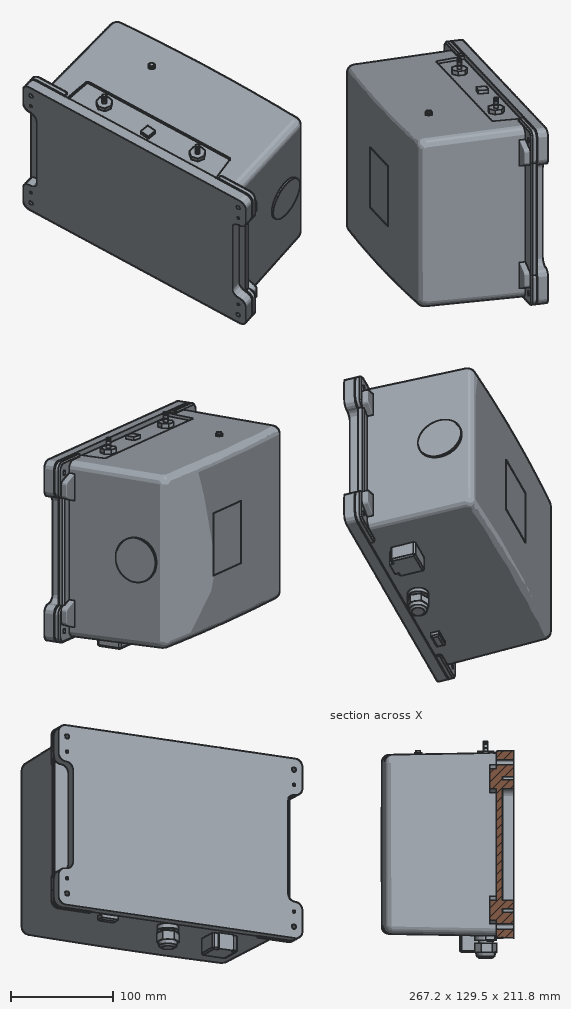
import cadquery as cq

root_depth = 2.7

plate_width = 267.2
plate_height = 183.3
plate_thickness = 11.0
corner_radius = 8
tab_inner_z = 54.5
notch_depth = 2 * corner_radius
half_width = plate_width / 2
half_height = plate_height / 2

seam_width = 0.8
seam_inset = 0.5
flange_start = plate_thickness + seam_width
flange_top = 17.5
flange_chamfer = 1.5
left_ledge_x = 132.5
right_ledge_x = 125.3
flange_pad_inner_x = 92.2

hole_x = 124.2
mount_hole_diameter = 4.5
mount_hole_z = 80.2
pilot_hole_diameter = 2.7
pilot_hole_z = 64.7

latch_inner_x = 112.2
latch_outer_x = 130.0
latch_low_z = 49.5
latch_high_z = 78.8
latch_top = 23.5
latch_slope_height = 7.0
latch_radius = 4.0
latch_edge = 0.8

housing_width = 230.3
housing_height = 179
housing_draft = 0.9
housing_fillet = 8.3
cover_centre_y = 129.3
cover_side_y = 126.0
cover_side_x = 112.2

panel_width = 54.0
panel_height = 63.0
total_depth = 129.5

cap_diameter = 45.0
cap_y = 93.0
cap_face_x = 116.2

recess_floor_z = 86.3
recess_end_y = 41.5
recess_base_half = 89.2
recess_end_half = 86.0
recess_radius = 2.1

pin_x = 55.8
fitting_y = 27.5
nut_diameter = 16
nut_sides = 7
nut_top_z = 90.8
pin_top_z = 100.7
pin_diameter = 4.5
pin_groove_diameter = 3.2
pin_cap_height = 2.1
pin_cap_chamfer = 0.5
pin_groove_width = 0.8
pin_groove_count = 2
pin_groove_pitch = 4.0

plug_side = 10.2
plug_y = 22.7
plug_top_z = 89.8
plug_angle = -7

screw_x = -46.0
screw_y = 93.5
screw_base_diameter = 7.0
screw_base_z = 89.8
screw_head_diameter = 4.5
screw_top_z = 91.6

bottom_root_z = -85.5
gland_washer_diameter = 21.0
gland_washer_z = -93.8
gland_neck_diameter = 14.0
gland_nut_top_z = -96.5
gland_nut_bottom_z = -105.3
gland_nut_across_corners = 22.0
gland_nut_sides = 6
gland_nut_angle = 37
dome_diameter = 19.8
dome_shoulder_diameter = 17.5
dome_shoulder_z = -109.3
dome_tip_diameter = 12.3
dome_bottom_z = -111.1

connector_x = 62.5
connector_width = 27.3
connector_near_y = 26.7
connector_far_y = 52.6
connector_bottom_z = -105.5
connector_chamfer = 1.5
connector_rib_width = 15.5
connector_rib_y = 24

button_x = -67.9
button_y = 23.0
button_length = 17.6
button_width = 8.8
button_bottom_z = -94.5
button_chamfer = 1.5


def box_between(x_range, y_range, z_range):
    """Box spanning the given coordinate ranges."""
    size = [high - low for low, high in (x_range, y_range, z_range)]
    start = (x_range[0], y_range[0], z_range[0])
    return cq.Workplane("XY").box(*size, centered=False).translate(start)


def post(x, y, diameter, z_start, z_end):
    """Upright cylinder between two heights."""
    return (
        cq.Workplane("XY", origin=(x, y, z_start))
        .circle(diameter / 2)
        .extrude(z_end - z_start)
    )


def mirrored_four_ways(quarter):
    """Repeat a +X +Z quarter in all four quarters."""
    half = quarter.union(quarter.mirror("YZ"))
    return half.union(half.mirror("XY"))


def eared_slab(y_start, y_end, inset=0.0):
    """Slab with a rounded ear at each corner and a notch between the ears on both sides."""
    side_x = half_width - inset
    top_z = half_height - inset
    ear_z = tab_inner_z + inset
    quarter = (
        cq.Workplane("XZ", origin=(0, y_start, 0))
        .lineTo(0, top_z)
        .lineTo(side_x - corner_radius, top_z)
        .tangentArcPoint((side_x, top_z - corner_radius), relative=False)
        .lineTo(side_x, ear_z + corner_radius)
        .tangentArcPoint((side_x - corner_radius, ear_z), relative=False)
        .tangentArcPoint((side_x - notch_depth, ear_z - corner_radius), relative=False)
        .lineTo(side_x - notch_depth, 0)
        .close()
        .extrude(y_start - y_end)
    )
    return mirrored_four_ways(quarter)


def flange_layer(y_start, y_end, inset=0.0):
    """Eared slab whose side notches are partly filled by a straight ledge."""
    ledge_z = tab_inner_z + corner_radius
    ledge = box_between(
        (inset - left_ledge_x, right_ledge_x - inset), (y_start, y_end), (-ledge_z, ledge_z)
    )
    return eared_slab(y_start, y_end, inset).union(ledge)


def make_flange():
    """Lid flange, open along the middle of its top and bottom sides."""
    gap_x = (-flange_pad_inner_x, flange_pad_inner_x)
    gap = box_between(gap_x, (plate_thickness, flange_top), (-half_height, half_height))
    seam = flange_layer(plate_thickness, flange_start, seam_inset).cut(gap)
    flange = flange_layer(flange_start, flange_top).cut(gap).faces(">Y").chamfer(flange_chamfer)
    return seam.union(flange)


def make_latches():
    """Four blocks with sloped ends, one on each ear."""
    latch = (
        cq.Workplane("XZ", origin=(0, flange_start, 0))
        .moveTo(latch_inner_x, latch_low_z)
        .lineTo(latch_outer_x, latch_low_z + latch_slope_height)
        .lineTo(latch_outer_x, latch_high_z - latch_slope_height)
        .lineTo(latch_inner_x, latch_high_z)
        .close()
        .extrude(flange_start - latch_top)
        .edges("|Y and >X")
        .fillet(latch_radius)
        .faces(">Y")
        .edges()
        .fillet(latch_edge)
    )
    return mirrored_four_ways(latch)


def make_housing():
    """Drafted box closed by the bowed cover, with rounded edges."""
    walls = (
        cq.Workplane("XZ", origin=(0, plate_thickness, 0))
        .rect(housing_width, housing_height)
        .extrude(-total_depth, taper=housing_draft)
    )
    envelope = (
        cq.Workplane("XY")
        .moveTo(-half_width, 0)
        .lineTo(half_width, 0)
        .lineTo(half_width, cover_side_y)
        .lineTo(cover_side_x, cover_side_y)
        .threePointArc((0, cover_centre_y), (-cover_side_x, cover_side_y))
        .lineTo(-half_width, cover_side_y)
        .close()
        .extrude(half_height, both=True)
    )
    body = walls.intersect(envelope)
    rounded = cq.selectors.BoxSelector(
        (-half_width, flange_start, -half_height), (half_width, total_depth, half_height)
    )
    return body.edges(rounded).fillet(housing_fillet)


def make_cover_panel():
    return box_between(
        (-panel_width / 2, panel_width / 2),
        (cover_side_y - root_depth, total_depth),
        (-panel_height / 2, panel_height / 2),
    )


def make_side_cap():
    depth = cap_face_x - latch_inner_x
    return (
        cq.Workplane("YZ", origin=(latch_inner_x, cap_y, 0)).circle(cap_diameter / 2).extrude(depth)
    )


def make_recess():
    return (
        cq.Workplane("XY", origin=(0, 0, recess_floor_z))
        .moveTo(-recess_base_half, plate_thickness)
        .lineTo(recess_base_half, plate_thickness)
        .lineTo(recess_end_half, recess_end_y)
        .lineTo(-recess_end_half, recess_end_y)
        .close()
        .extrude(half_height - recess_floor_z)
        .edges("|Z and >Y")
        .fillet(recess_radius)
    )


def make_antenna_pin(x):
    """Grooved pin on a faceted nut."""
    nut = (
        cq.Workplane("XY", origin=(x, fitting_y, recess_floor_z - root_depth))
        .polygon(nut_sides, nut_diameter)
        .extrude(nut_top_z - recess_floor_z + root_depth)
    )
    pin = post(x, fitting_y, pin_diameter, recess_floor_z, pin_top_z)
    pin = pin.faces(">Z").chamfer(pin_cap_chamfer)
    for step in range(pin_groove_count):
        groove_top = pin_top_z - pin_cap_height - step * pin_groove_pitch
        groove_bottom = groove_top - pin_groove_width
        ring = post(x, fitting_y, 2 * pin_diameter, groove_bottom, groove_top)
        core = post(x, fitting_y, pin_groove_diameter, groove_bottom, groove_top)
        pin = pin.cut(ring.cut(core))
    return nut.union(pin)


def make_plug():
    return (
        cq.Workplane("XY", origin=(0, plug_y, recess_floor_z - root_depth))
        .transformed(rotate=(0, 0, plug_angle))
        .rect(plug_side, plug_side)
        .extrude(plug_top_z - recess_floor_z + root_depth)
    )


def make_vent_screw():
    base = post(screw_x, screw_y, screw_base_diameter, recess_floor_z - root_depth, screw_base_z)
    return base.union(post(screw_x, screw_y, screw_head_diameter, recess_floor_z, screw_top_z))


def make_gland():
    washer = post(0, fitting_y, gland_washer_diameter, gland_washer_z, bottom_root_z)
    neck = post(0, fitting_y, gland_neck_diameter, gland_nut_bottom_z, bottom_root_z)
    nut = (
        cq.Workplane("XY", origin=(0, fitting_y, gland_nut_bottom_z))
        .transformed(rotate=(0, 0, gland_nut_angle))
        .polygon(gland_nut_sides, gland_nut_across_corners)
        .extrude(gland_nut_top_z - gland_nut_bottom_z)
    )
    dome = (
        cq.Workplane("XZ", origin=(0, fitting_y, 0))
        .moveTo(0, gland_nut_bottom_z)
        .lineTo(dome_diameter / 2, gland_nut_bottom_z)
        .lineTo(dome_shoulder_diameter / 2, dome_shoulder_z)
        .lineTo(dome_tip_diameter / 2, dome_bottom_z)
        .lineTo(0, dome_bottom_z)
        .close()
        .revolve(360, (0, 0), (0, 1))
    )
    return washer.union(neck).union(nut).union(dome)


def make_connector():
    half = connector_width / 2
    rib_half = connector_rib_width / 2
    z_range = (connector_bottom_z, bottom_root_z)
    shell = box_between(
        (connector_x - half, connector_x + half), (connector_near_y, connector_far_y), z_range
    )
    shell = shell.edges("|Z or <Z").chamfer(connector_chamfer)
    rib_y = (connector_rib_y, connector_far_y - root_depth)
    rib = box_between((connector_x - rib_half, connector_x + rib_half), rib_y, z_range)
    return shell.union(rib)


def make_button():
    return (
        cq.Workplane("XY", origin=(button_x, button_y, button_bottom_z))
        .rect(button_length, button_width)
        .extrude(bottom_root_z - button_bottom_z)
        .faces("<Z")
        .chamfer(button_chamfer)
    )


def make_holes(diameter, z, depth):
    """Four holes, one per plate corner, drilled from the plate face."""
    centres = [(sx * hole_x, sz * z) for sx in (-1, 1) for sz in (-1, 1)]
    return cq.Workplane("XZ").pushPoints(centres).circle(diameter / 2).extrude(-depth)


result = make_housing().union(make_cover_panel()).union(make_side_cap())
result = result.union(eared_slab(0, plate_thickness)).union(make_flange())
result = result.cut(make_recess()).union(make_latches())
for fitting in (
    make_antenna_pin(-pin_x),
    make_antenna_pin(pin_x),
    make_plug(),
    make_vent_screw(),
    make_gland(),
    make_connector(),
    make_button(),
):
    result = result.union(fitting)
result = result.cut(make_holes(mount_hole_diameter, mount_hole_z, latch_top))
result = result.cut(make_holes(pilot_hole_diameter, pilot_hole_z, plate_thickness))